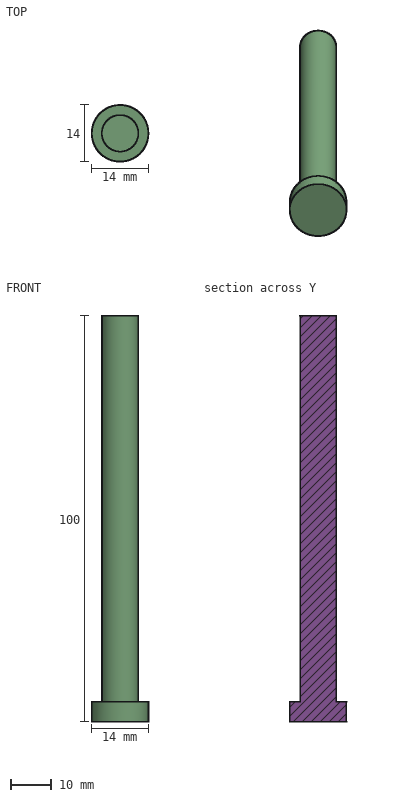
import cadquery as cq

total_length = 100.0
head_diameter = 14.0
head_height = 5.0
shaft_diameter = 9.0

head = cq.Workplane("XY").circle(head_diameter / 2).extrude(head_height)
shaft = cq.Workplane("XY").circle(shaft_diameter / 2).extrude(total_length)

result = head.union(shaft)